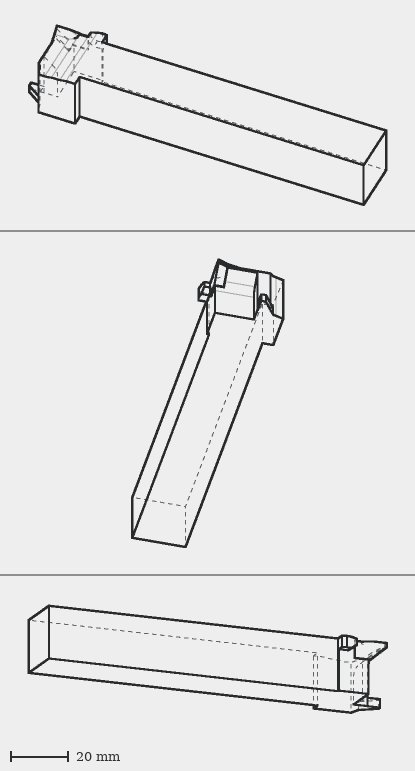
import cadquery as cq
import math

total_length = 128.3
shank_size = 19.0
shank_y = 3.8
height = shank_size

head_end_x = 20.9
head_width = 23.6
nose_x = 4.7
nose_arc_y = 5.1
nose_arc_end = (6.2, 2.8)
nose_corner_x = 7.0
nose_width = 9.8

top_step_x = 17.5
flange_x = 15.1
groove_end_x = 11.9
groove_start_x = 9.4
step_z = 18.6
groove_middle_z = 18.2
groove_end_z = 18.5
blade_z = 18.1

seat_x = 9.9
seat_z = 10.4
seat_radius = 5.1
edge_under_z = 17.3

tip_x = 3.2
tip_crest_end_x = 8.0
tip_start_y = 20.5
tip_width = 24.0
blade_bend_y = 16.0
tip_edge_z = 17.5
tip_heel_x = 9.2
tip_heel_z = 12.3

flange_width = 27.0
flange_front_y = 26.0
flange_end_y = 26.7
flange_crest_x = 19.2
flange_bottom_z = 14.9
flange_front_z = 16.4

tooth_height = 3.1
tooth_back_y = 9.6
tooth_front_y = 8.0
tooth_root = (5.8, 4.0)


def prism_y(profile, start_y, end_y):
    """Extrude an XZ profile between two Y positions."""
    return profile.extrude(-(end_y - start_y)).translate((0, start_y, 0))


def make_shank():
    return cq.Workplane("XY").box(
        total_length - head_end_x, shank_size, height, centered=False
    ).translate((head_end_x, shank_y, 0))


def make_head():
    plan = (
        cq.Workplane("XY")
        .moveTo(nose_corner_x, 0)
        .lineTo(*nose_arc_end)
        .threePointArc(tooth_root, (nose_x, nose_arc_y))
        .lineTo(nose_x, blade_bend_y)
        .lineTo(tip_x, head_width)
        .lineTo(head_end_x, head_width)
        .lineTo(head_end_x, 0)
        .close()
        .extrude(height)
    )
    groove_middle = ((groove_start_x + groove_end_x) / 2, groove_middle_z)
    side = (
        cq.Workplane("XZ")
        .moveTo(0, 0)
        .lineTo(0, blade_z)
        .lineTo(groove_start_x, blade_z)
        .threePointArc(groove_middle, (groove_end_x, groove_end_z))
        .lineTo(flange_x, step_z)
        .lineTo(top_step_x, height)
        .lineTo(head_end_x, height)
        .lineTo(head_end_x, 0)
        .close()
    )
    return plan.intersect(prism_y(side, 0, head_width))


def make_seat_cut():
    """Open recess whose curved rear wall runs out under the blade."""
    def arc_point(angle):
        turn = math.radians(angle)
        return (
            seat_x - seat_radius * (1 - math.cos(turn)),
            seat_z + seat_radius * math.sin(turn),
        )

    profile = (
        cq.Workplane("XZ")
        .moveTo(0, 0)
        .lineTo(seat_x, 0)
        .lineTo(seat_x, seat_z)
        .threePointArc(arc_point(22.5), arc_point(45))
        .lineTo(nose_x, edge_under_z)
        .lineTo(0, edge_under_z)
        .close()
    )
    return prism_y(profile, nose_width, flange_width)


def make_tip():
    """Cutting corner with a side-tilted top and a sloping heel."""
    profile = cq.Workplane("XZ").polyline([
        (tip_x, height),
        (tip_x, tip_edge_z),
        (tip_heel_x, tip_heel_z),
        (flange_x, tip_heel_z),
        (flange_x, step_z),
        (groove_end_x, step_z),
        (tip_crest_end_x, height),
    ]).close()
    body = prism_y(profile, tip_start_y, tip_width)
    edge_slope = (nose_x - tip_x) / (tip_width - blade_bend_y)
    edge_start_x = tip_x + edge_slope * (tip_width - tip_start_y)
    plan = cq.Workplane("XY").polyline([
        (edge_start_x, tip_start_y),
        (tip_x, tip_width),
        (flange_x, tip_width),
        (flange_x, tip_start_y),
    ]).close().extrude(height)
    tilted = cq.Workplane("YZ").polyline([
        (tip_start_y, 0),
        (tip_start_y, blade_z),
        (tip_width, height),
        (tip_width, 0),
    ]).close().extrude(groove_end_x)
    rear = cq.Workplane("XY").box(
        flange_x - groove_end_x, tip_width - tip_start_y, groove_end_z, centered=False
    ).translate((groove_end_x, tip_start_y, 0))
    return body.intersect(plan).intersect(tilted.union(rear))


def make_flange():
    side = cq.Workplane("XZ").polyline([
        (flange_x, flange_front_z),
        (flange_x, step_z),
        (top_step_x, height),
        (head_end_x, height),
        (head_end_x, flange_bottom_z),
        (top_step_x, flange_bottom_z),
    ]).close()
    plan = (
        cq.Workplane("XY")
        .moveTo(flange_x, nose_width)
        .lineTo(flange_x, flange_front_y)
        .lineTo(flange_crest_x, flange_width)
        .lineTo(head_end_x, flange_end_y)
        .lineTo(head_end_x, nose_width)
        .close()
        .extrude(height)
    )
    return plan.intersect(prism_y(side, nose_width, flange_width))


def make_tooth():
    return cq.Workplane("XY").polyline([
        (0, tooth_back_y),
        (0, tooth_front_y),
        tooth_root,
        (seat_x, tooth_root[1]),
        (seat_x, tooth_back_y),
    ]).close().extrude(tooth_height)


head = make_head().cut(make_seat_cut())
result = head.union(make_tip()).union(make_flange()).union(make_tooth()).union(make_shank())